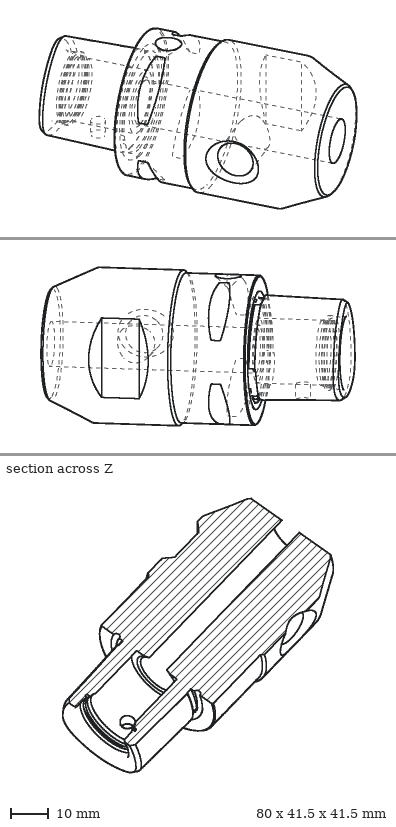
import cadquery as cq
import math

TOTAL_LENGTH = 80.0
TIP_CHAMFER_LENGTH = 1.3
TAPER_END = 22.4
FLANGE_FACE = 24.0
BODY_START = 44.0
BODY_END = 67.4
NOSE_START = 67.9

FLANGE_RADIUS = 40.0 / 2
BODY_RADIUS = 41.5 / 2
NOSE_START_RADIUS = 20.6
NOSE_END_RADIUS = 15.3
FLANGE_CHAMFER = 0.3
BODY_CHAMFER = 0.7
NOSE_CHAMFER = 0.6

LOBE_RADIUS = 8.0
SIDE_RADIUS = 20.0
LOBE_OFFSET = (SIDE_RADIUS - LOBE_RADIUS) / math.sqrt(3)
LOBE_ANGLES = (90, 210, 330)
LOBE_HALF_SPAN = 30
TAPER_ANGLE = math.degrees(math.atan(1 / 40))
TIP_CHAMFER = 0.8
NECK_STEP = 0.2

RELIEF_RADIUS = 0.9
RELIEF_INNER_RADIUS = 14.0
RELIEF_START = 22.0

MOUTH_RADIUS = 19.2 / 2
MOUTH_ROUND = 0.92
MOUTH_DEPTH = 3.7
LIP_RADIUS = 9.2
LIP_END = 4.5
GROOVE_RADIUS = 20.0 / 2
GROOVE_END = 5.1
SEAT_RADIUS = 18.0 / 2
SEAT_END = 5.9
SEAT_CONE_END = 6.9
SHANK_BORE_RADIUS = 17.3 / 2
SHANK_BORE_DEPTH = 24.0
TOOL_BORE_RADIUS = 12.0 / 2
TOOL_BORE_CHAMFER = 0.8
TOOL_BORE_CHAMFER_LENGTH = 0.5

GRIP_X = 32.0
GRIP_FLOOR_DISTANCE = 17.7
GRIP_FLOOR_WIDTH = 2.6
GRIP_WALL_ANGLE = 30
GRIP_FLOOR_FILLET = 0.5
GRIP_ANGLES = (45, 135, 225, 315)
DIMPLE_DIAMETER = 7.0

SCREW_X = 58.0
SCREW_DIAMETER = 10.1
SCREW_SINK_START = 18.3
NOTCH_FLOOR = 17.8
NOTCH_WALL_ANGLE = 45

CROSS_HOLE_X = 11.8
CROSS_HOLE_DIAMETER = 4.0


def polar(radius, angle):
    """Point at a radius and an angle in degrees."""
    turn = math.radians(angle)
    return cq.Vector(radius * math.cos(turn), radius * math.sin(turn))


def lobed_prism(start_x, length, inset, taper=0.0):
    """Three-lobed prism running from start_x towards the shank tip."""
    plane = cq.Plane(origin=(start_x, 0, 0), xDir=(0, -1, 0), normal=(-1, 0, 0))
    centers = [polar(LOBE_OFFSET, angle) for angle in LOBE_ANGLES]

    def lobe_point(index, swing):
        return centers[index] + polar(LOBE_RADIUS - inset, LOBE_ANGLES[index] + swing)

    outline = cq.Workplane(plane).moveTo(*lobe_point(0, -LOBE_HALF_SPAN).toTuple()[:2])
    for index, angle in enumerate(LOBE_ANGLES):
        following = (index + 1) % 3
        opposite = (index + 2) % 3
        side_middle = centers[opposite] + polar(SIDE_RADIUS - inset, LOBE_ANGLES[opposite] + 180)
        outline = outline.threePointArc(
            lobe_point(index, 0).toTuple()[:2],
            lobe_point(index, LOBE_HALF_SPAN).toTuple()[:2],
        )
        outline = outline.threePointArc(
            side_middle.toTuple()[:2],
            lobe_point(following, -LOBE_HALF_SPAN).toTuple()[:2],
        )
    return outline.close().extrude(length, taper=taper)


def turned(profile):
    """Revolve a closed (x, radius) profile about the X axis."""
    return profile.close().revolve(360, (0, 0, 0), (1, 0, 0))


def make_shank():
    taper_length = TAPER_END - TIP_CHAMFER_LENGTH
    tip_inset = taper_length * math.tan(math.radians(TAPER_ANGLE))
    tip_angle = math.degrees(math.atan(TIP_CHAMFER / TIP_CHAMFER_LENGTH))
    neck_length = FLANGE_FACE + 2 * RELIEF_RADIUS - TAPER_END
    cone = lobed_prism(TAPER_END, taper_length, 0, TAPER_ANGLE)
    tip = lobed_prism(TIP_CHAMFER_LENGTH, TIP_CHAMFER_LENGTH, tip_inset, tip_angle)
    neck = lobed_prism(TAPER_END + neck_length, neck_length, NECK_STEP)
    return cone.union(tip).union(neck)


def make_head():
    profile = (
        cq.Workplane("XY")
        .moveTo(FLANGE_FACE, 0)
        .lineTo(FLANGE_FACE, FLANGE_RADIUS - FLANGE_CHAMFER)
        .lineTo(FLANGE_FACE + FLANGE_CHAMFER, FLANGE_RADIUS)
        .lineTo(BODY_START, FLANGE_RADIUS)
        .lineTo(BODY_START + BODY_CHAMFER, BODY_RADIUS)
        .lineTo(BODY_END, BODY_RADIUS)
        .lineTo(NOSE_START, NOSE_START_RADIUS)
        .lineTo(TOTAL_LENGTH - NOSE_CHAMFER, NOSE_END_RADIUS)
        .lineTo(TOTAL_LENGTH, NOSE_END_RADIUS - NOSE_CHAMFER)
        .lineTo(TOTAL_LENGTH, 0)
    )
    return turned(profile)


def make_relief():
    """Turned relief: trims the lobes and runs as a round groove into the flange face."""
    outer = RELIEF_INNER_RADIUS + 2 * RELIEF_RADIUS
    diagonal = RELIEF_RADIUS * (1 - math.sqrt(0.5))
    profile = (
        cq.Workplane("XY")
        .moveTo(RELIEF_START, outer)
        .lineTo(RELIEF_START, RELIEF_INNER_RADIUS + RELIEF_RADIUS)
        .threePointArc(
            (RELIEF_START + diagonal, RELIEF_INNER_RADIUS + diagonal),
            (RELIEF_START + RELIEF_RADIUS, RELIEF_INNER_RADIUS),
        )
        .lineTo(FLANGE_FACE, RELIEF_INNER_RADIUS)
        .threePointArc(
            (FLANGE_FACE + RELIEF_RADIUS, RELIEF_INNER_RADIUS + RELIEF_RADIUS),
            (FLANGE_FACE, outer),
        )
    )
    return turned(profile)


def make_bores():
    """Stepped shank bore with a lip and groove, and the tool bore through to the nose."""
    diagonal = MOUTH_ROUND * (1 - math.sqrt(0.5))
    profile = (
        cq.Workplane("XY")
        .lineTo(0, MOUTH_RADIUS + MOUTH_ROUND)
        .threePointArc((diagonal, MOUTH_RADIUS + diagonal), (MOUTH_ROUND, MOUTH_RADIUS))
        .lineTo(MOUTH_DEPTH, MOUTH_RADIUS)
        .lineTo(LIP_END, LIP_RADIUS)
        .lineTo(LIP_END, GROOVE_RADIUS)
        .lineTo(GROOVE_END, GROOVE_RADIUS)
        .lineTo(GROOVE_END, SEAT_RADIUS)
        .lineTo(SEAT_END, SEAT_RADIUS)
        .lineTo(SEAT_CONE_END, SHANK_BORE_RADIUS)
        .lineTo(SHANK_BORE_DEPTH, SHANK_BORE_RADIUS)
        .lineTo(SHANK_BORE_DEPTH, TOOL_BORE_RADIUS + TOOL_BORE_CHAMFER)
        .lineTo(SHANK_BORE_DEPTH + TOOL_BORE_CHAMFER_LENGTH, TOOL_BORE_RADIUS)
        .lineTo(TOTAL_LENGTH, TOOL_BORE_RADIUS)
        .lineTo(TOTAL_LENGTH, 0)
    )
    return turned(profile)


def trapezoid_slot(center_x, floor_y, floor_width, wall_angle):
    """Straight slot along Z, open towards +Y, with walls leaning outwards."""
    depth = BODY_RADIUS - floor_y
    floor_half = floor_width / 2
    top_half = floor_half + depth * math.tan(math.radians(wall_angle))
    return (
        cq.Workplane("XY")
        .moveTo(center_x - floor_half, floor_y)
        .lineTo(center_x + floor_half, floor_y)
        .lineTo(center_x + top_half, BODY_RADIUS)
        .lineTo(center_x - top_half, BODY_RADIUS)
        .close()
        .extrude(BODY_RADIUS, both=True)
    )


def make_screw_hole():
    """Radial hole from -Y into the tool bore, with a 45 degree countersink."""
    toward_axis = cq.Vector(0, 1, 0)
    radius = SCREW_DIAMETER / 2
    sink_depth = BODY_RADIUS - SCREW_SINK_START
    mouth = cq.Vector(SCREW_X, -BODY_RADIUS, 0)
    hole = cq.Solid.makeCylinder(radius, BODY_RADIUS, mouth, toward_axis)
    sink = cq.Solid.makeCone(radius + sink_depth, radius, sink_depth, mouth, toward_axis)
    return cq.Workplane(hole).union(cq.Workplane(sink))


def make_dimple():
    """Right-angled conical dimple on the +Z side of the flange."""
    radius = DIMPLE_DIAMETER / 2
    mouth = cq.Vector(GRIP_X, 0, FLANGE_RADIUS)
    return cq.Workplane(cq.Solid.makeCone(radius, 0, radius, mouth, cq.Vector(0, 0, -1)))


def make_cross_hole():
    """Radial hole from the shank bore out through the -Z side."""
    start = cq.Vector(CROSS_HOLE_X, 0, 0)
    length = LOBE_OFFSET + LOBE_RADIUS
    down = cq.Vector(0, 0, -1)
    return cq.Workplane(cq.Solid.makeCylinder(CROSS_HOLE_DIAMETER / 2, length, start, down))


result = make_shank().cut(make_relief()).union(make_head().cut(make_relief()))
result = result.cut(make_bores())

grip_slot = trapezoid_slot(GRIP_X, GRIP_FLOOR_DISTANCE, GRIP_FLOOR_WIDTH, GRIP_WALL_ANGLE)
grip_slot = grip_slot.edges("|Z and <Y").fillet(GRIP_FLOOR_FILLET)
for slot_angle in GRIP_ANGLES:
    result = result.cut(grip_slot.rotate((0, 0, 0), (1, 0, 0), slot_angle))

result = result.cut(trapezoid_slot(SCREW_X, NOTCH_FLOOR, SCREW_DIAMETER, NOTCH_WALL_ANGLE))
result = result.cut(make_screw_hole())
result = result.cut(make_dimple())
result = result.cut(make_cross_hole())